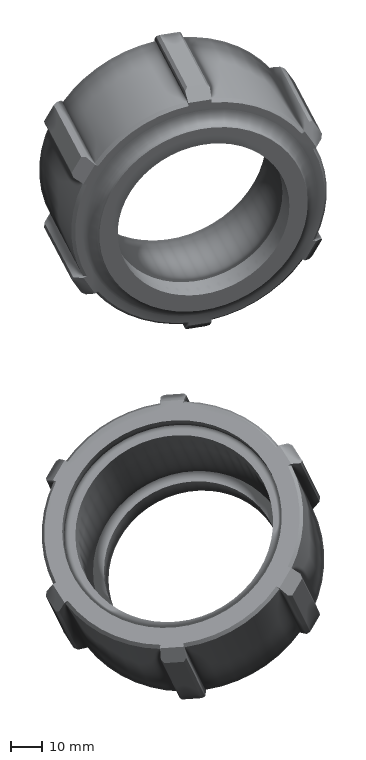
import cadquery as cq
import math

total_length = 43.0
body_length = 38.9
body_radius = 42.4
body_chamfer = 1.0

lip_length = total_length - body_length
lip_radius = 34.5

mouth_radius = 71.1 / 2
mouth_depth = 4.0
bore_radius = 64.0 / 2
bore_end = 35.0
exit_radius = 56.9 / 2

rib_count = 6
rib_tip_radius = 46.0
rib_angle = 10.4
rib_edge_chamfer = 0.9
rib_end_chamfer = rib_tip_radius - body_radius
rib_root_radius = (mouth_radius + body_radius) / 2


def make_ring():
    """Revolve the body, flared lip and stepped bore about X."""
    flare_radius = lip_radius + lip_length
    flare_middle = (
        total_length - lip_length * math.cos(math.pi / 4),
        flare_radius - lip_length * math.sin(math.pi / 4),
    )
    return (
        cq.Workplane("XY")
        .moveTo(0, mouth_radius)
        .lineTo(0, body_radius - body_chamfer)
        .lineTo(body_chamfer, body_radius)
        .lineTo(body_length - body_chamfer, body_radius)
        .lineTo(body_length, body_radius - body_chamfer)
        .lineTo(body_length, flare_radius)
        .threePointArc(flare_middle, (total_length, lip_radius))
        .lineTo(total_length, exit_radius)
        .lineTo(bore_end, exit_radius)
        .lineTo(bore_end, bore_radius)
        .lineTo(mouth_depth, bore_radius)
        .lineTo(mouth_depth, mouth_radius)
        .close()
        .revolve(360, (0, 0, 0), (1, 0, 0))
    )


def make_rib():
    """Make the rib at the top: radial sides, chamfered tip edges and 45 degree ends."""
    side_slope = math.tan(math.radians(rib_angle / 2))
    shoulder_radius = rib_tip_radius - rib_edge_chamfer
    root_half = rib_root_radius * side_slope
    shoulder_half = shoulder_radius * side_slope
    tip_half = shoulder_half - rib_edge_chamfer
    section = (
        cq.Workplane("YZ")
        .polyline([
            (-root_half, rib_root_radius),
            (-shoulder_half, shoulder_radius),
            (-tip_half, rib_tip_radius),
            (tip_half, rib_tip_radius),
            (shoulder_half, shoulder_radius),
            (root_half, rib_root_radius),
        ])
        .close()
        .extrude(body_length)
    )
    side_profile = (
        cq.Workplane("XZ")
        .polyline([
            (0, rib_root_radius),
            (0, body_radius),
            (rib_end_chamfer, rib_tip_radius),
            (body_length - rib_end_chamfer, rib_tip_radius),
            (body_length, body_radius),
            (body_length, rib_root_radius),
        ])
        .close()
        .extrude(rib_tip_radius, both=True)
    )
    return section.intersect(side_profile)


result = make_ring()
rib = make_rib()
for index in range(rib_count):
    angle = index * 360 / rib_count
    result = result.union(rib.rotate((0, 0, 0), (1, 0, 0), angle))